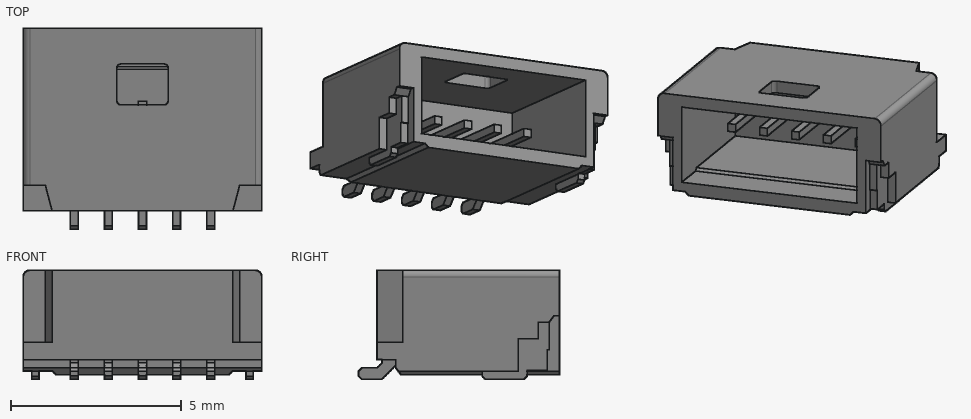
import cadquery as cq


width = 7.0
total_length = 5.9
top_z = 3.2
eps = 0.5

mouth_y = total_length / 2
toe_y = mouth_y - total_length
housing_length = 5.36
front_y = mouth_y - housing_length
side_bottom_z = 0.24
top_edge_radius = 0.2

flange_depth = 0.55
flange_bottom_z = 0.58
flange_top_z = 1.08
undercut_y = front_y + flange_depth
undercut_bevel_height = 0.21
undercut_bevel_depth = 0.16

pad_bottom_z = 0.13
pad_bevel = side_bottom_z - pad_bottom_z
pad_half_width = 2.64

notch_length = 0.76
notch_back_width = 0.65
notch_front_width = 0.85

roof_thickness = 0.36
cavity_half_width = 2.75
cavity_depth = 4.4
floor_z = 0.6
floor_step = 0.08
floor_step_depth = 1.13

window_width = 1.5
window_length = 1.2
window_setback = 1.05
window_radius = 0.12

pin_count = 5
pin_pitch = 1.0
pin_width = 0.24
tail_thickness = 0.34
toe_chamfer = 0.1
leg_depth = 0.4
heel_height = 0.4
tail_bend = 0.14
contact_setback = 2.14
contact_thickness = 0.24
contact_top_z = 1.75

tab_inset = 0.25
tab_thickness = 0.22
tab_setback = 0.31
tab_lower_setback = 0.36
tab_shoulder_z = 0.87
tab_bottom_z = 0.27
foot_start = 0.95
foot_end = 2.27
foot_chamfer = 0.09
recess_top_z = 1.67
recess_middle_z = 1.19
recess_upper_depth = 0.63
recess_lower_depth = 1.21
recess_lip_z = 1.87
recess_lip_depth = 0.16


def extrude_along_x(points, x_start, length):
    """Solid with a (Y, Z) outline, running from x_start towards +X."""
    return cq.Workplane("YZ", origin=(x_start, 0, 0)).polyline(points).close().extrude(length)


def make_shell():
    """Housing block with rounded long top edges, a flange and a bevelled undercut."""
    profile = [
        (mouth_y, top_z),
        (front_y, top_z),
        (front_y, flange_bottom_z),
        (undercut_y, flange_bottom_z),
        (undercut_y, pad_bottom_z + undercut_bevel_height),
        (undercut_y + undercut_bevel_depth, pad_bottom_z),
        (mouth_y, pad_bottom_z),
    ]
    shell = extrude_along_x(profile, -width / 2, width)
    return shell.edges("|Y and >Z").fillet(top_edge_radius)


def make_side_relief(side):
    """Tool that lifts the underside beside the pad, with the pad's slanted flank."""
    profile = [
        (side * (pad_half_width - pad_bevel), pad_bottom_z),
        (side * pad_half_width, side_bottom_z),
        (side * (width / 2 + eps), side_bottom_z),
        (side * (width / 2 + eps), pad_bottom_z - eps),
        (side * (pad_half_width - pad_bevel), pad_bottom_z - eps),
    ]
    plane = cq.Workplane("XZ", origin=(0, mouth_y + eps, 0))
    return plane.polyline(profile).close().extrude(total_length + 2 * eps)


def make_corner_notch(side):
    """Tool for the notch above the flange; its inner wall slants inwards towards -Y."""
    edge_x = width / 2
    slant = (notch_front_width - notch_back_width) / notch_length
    outline = [
        (side * (edge_x + eps), front_y + notch_length),
        (side * (edge_x - notch_back_width), front_y + notch_length),
        (side * (edge_x - notch_front_width - slant * eps), front_y - eps),
        (side * (edge_x + eps), front_y - eps),
    ]
    plane = cq.Workplane("XY", origin=(0, 0, flange_top_z))
    return plane.polyline(outline).close().extrude(top_z - flange_top_z + eps)


def make_cavity():
    """Tool for the mating cavity, whose floor steps down near the mouth."""
    step_y = mouth_y - floor_step_depth
    profile = [
        (mouth_y + eps, top_z - roof_thickness),
        (mouth_y - cavity_depth, top_z - roof_thickness),
        (mouth_y - cavity_depth, floor_z),
        (step_y - floor_step, floor_z),
        (step_y, floor_z - floor_step),
        (mouth_y + eps, floor_z - floor_step),
    ]
    return extrude_along_x(profile, -cavity_half_width, 2 * cavity_half_width)


def make_window():
    """Tool for the rounded rectangular window through the roof."""
    center_y = mouth_y - window_setback - window_length / 2
    plane = cq.Workplane("XY", origin=(0, center_y, top_z - roof_thickness - eps))
    block = plane.rect(window_width, window_length).extrude(roof_thickness + 2 * eps)
    return block.edges("|Z").fillet(window_radius)


def make_tab_recess(side):
    """Tool for the stepped recess in the side wall, as deep as the tab's inner face."""
    profile = [
        (mouth_y + eps, recess_lip_z),
        (mouth_y - recess_lip_depth, recess_lip_z),
        (mouth_y - tab_setback, recess_top_z),
        (mouth_y - recess_upper_depth, recess_top_z),
        (mouth_y - recess_upper_depth, recess_middle_z),
        (mouth_y - recess_lower_depth, recess_middle_z),
        (mouth_y - recess_lower_depth, side_bottom_z - eps),
        (mouth_y + eps, side_bottom_z - eps),
    ]
    depth = tab_inset + tab_thickness
    tool_width = depth + eps
    center_x = side * (width / 2 + eps - tool_width / 2)
    return extrude_along_x(profile, center_x - tool_width / 2, tool_width)


def make_tab(side):
    """Solder tab: an upright plate with a foot that reaches the soldering plane."""
    profile = [
        (mouth_y - tab_setback, recess_top_z),
        (mouth_y - tab_setback, tab_shoulder_z),
        (mouth_y - tab_lower_setback, tab_shoulder_z),
        (mouth_y - tab_lower_setback, tab_bottom_z),
        (mouth_y - foot_start, tab_bottom_z),
        (mouth_y - foot_start, foot_chamfer),
        (mouth_y - foot_start - foot_chamfer, 0),
        (mouth_y - foot_end + foot_chamfer, 0),
        (mouth_y - foot_end, foot_chamfer),
        (mouth_y - foot_end, recess_middle_z),
        (mouth_y - recess_upper_depth, recess_middle_z),
        (mouth_y - recess_upper_depth, recess_top_z),
    ]
    center_x = side * (width / 2 - tab_inset - tab_thickness / 2)
    return extrude_along_x(profile, center_x - tab_thickness / 2, tab_thickness)


def make_pin(center_x):
    """Terminal: a contact in the cavity, a leg down through the housing and a bent tail."""
    leg_front_y = undercut_y - leg_depth
    profile = [
        (mouth_y - contact_setback, contact_top_z),
        (leg_front_y, contact_top_z),
        (leg_front_y, tail_thickness + tail_bend),
        (leg_front_y - tail_bend, tail_thickness),
        (toe_y + toe_chamfer, tail_thickness),
        (toe_y, tail_thickness - toe_chamfer),
        (toe_y, toe_chamfer),
        (toe_y + toe_chamfer, 0),
        (leg_front_y, 0),
        (undercut_y, heel_height),
        (undercut_y, contact_top_z - contact_thickness),
        (mouth_y - contact_setback, contact_top_z - contact_thickness),
    ]
    return extrude_along_x(profile, center_x - pin_width / 2, pin_width)


result = make_shell().cut(make_cavity()).cut(make_window())

for side in (-1, 1):
    result = result.cut(make_side_relief(side))
    result = result.cut(make_corner_notch(side))
    result = result.cut(make_tab_recess(side))
    result = result.union(make_tab(side))

for index in range(pin_count):
    result = result.union(make_pin((index - (pin_count - 1) / 2) * pin_pitch))